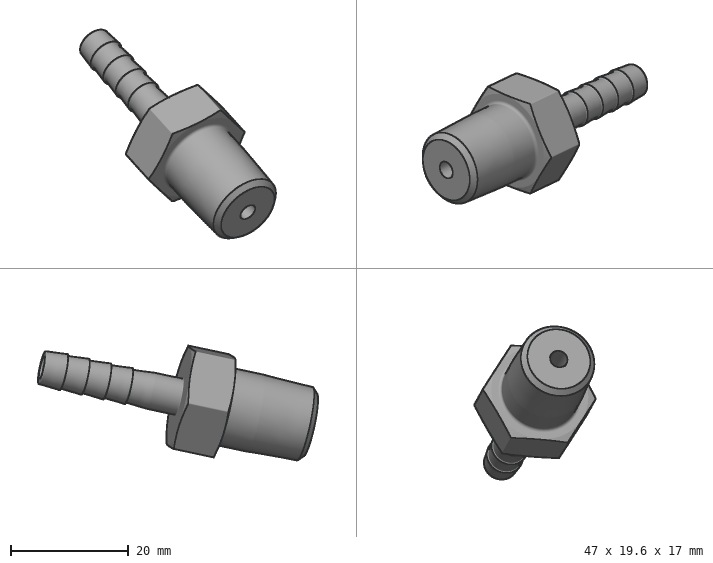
import cadquery as cq
import math

total_length = 47.0

stem_diameter = 6.3
barb_root_diameter = 5.75
barb_count = 5
barbs_length = 19.0
barb_root_fillet = 0.15
nose_radius = 0.2
stem_root_radius = 0.15

hex_start = 24.0
hex_length = 7.75
hex_across_flats = 17.0
hex_corner_radius = 0.25
hex_chamfer_diameter = 16.83
hex_chamfer_angle = 15.0

thread_diameter = 13.4
taper_end_diameter = 12.8
thread_root_radius = 0.5
taper_start = 37.25
end_chamfer = 0.95

bore_diameter = 3.0
bore_chamfer = 0.45

barb_pitch = barbs_length / barb_count
stem_radius = stem_diameter / 2
barb_root_radius = barb_root_diameter / 2
hex_end = hex_start + hex_length
overlap_length = hex_length / 2


def make_stem():
    """Revolved stem: a row of cones that widen away from the hose end, then a cylinder."""
    profile = cq.Workplane("XY").moveTo(0, 0).lineTo(0, barb_root_radius)
    for barb in range(1, barb_count):
        step = barb * barb_pitch
        profile = (
            profile.lineTo(step, stem_radius)
            .lineTo(step, barb_root_radius + barb_root_fillet)
            .radiusArc((step + barb_root_fillet, barb_root_radius), -barb_root_fillet)
        )
    profile = (
        profile.lineTo(barbs_length, stem_radius)
        .lineTo(hex_start - stem_root_radius, stem_radius)
        .radiusArc((hex_start, stem_radius + stem_root_radius), -stem_root_radius)
        .lineTo(hex_start + overlap_length, stem_radius + stem_root_radius)
        .lineTo(hex_start + overlap_length, 0)
        .close()
    )
    stem = profile.revolve(360, (0, 0, 0), (1, 0, 0))
    return stem.faces("<X").edges().fillet(nose_radius)


def make_hexagon():
    """Hexagon with flats at top and bottom, rounded corners and conical end chamfers."""
    across_corners = hex_across_flats / math.cos(math.radians(30))
    prism = (
        cq.Workplane("YZ", origin=(hex_start, 0, 0))
        .polygon(6, across_corners)
        .extrude(hex_length)
        .edges("|X")
        .fillet(hex_corner_radius)
    )
    chamfer_height = (across_corners - hex_chamfer_diameter) / 2
    chamfer_length = chamfer_height * math.tan(math.radians(hex_chamfer_angle))
    envelope = (
        cq.Workplane("YZ", origin=(hex_start, 0, 0))
        .circle(across_corners / 2)
        .extrude(hex_length)
        .faces("<X or >X")
        .chamfer(chamfer_length, chamfer_height)
    )
    return prism.intersect(envelope)


def make_thread_body():
    """Revolved body: root fillet, cylinder, taper and end chamfer."""
    radius = thread_diameter / 2
    taper_end = total_length - end_chamfer
    taper_end_radius = taper_end_diameter / 2
    return (
        cq.Workplane("XY")
        .moveTo(hex_end, 0)
        .lineTo(hex_end, radius + thread_root_radius)
        .radiusArc((hex_end + thread_root_radius, radius), -thread_root_radius)
        .lineTo(taper_start, radius)
        .lineTo(taper_end, taper_end_radius)
        .lineTo(total_length, taper_end_radius - end_chamfer)
        .lineTo(total_length, 0)
        .close()
        .revolve(360, (0, 0, 0), (1, 0, 0))
    )


def make_bore():
    """Through bore with a countersink at the hose end."""
    radius = bore_diameter / 2
    return (
        cq.Workplane("XY")
        .lineTo(0, radius + bore_chamfer)
        .lineTo(bore_chamfer, radius)
        .lineTo(total_length, radius)
        .lineTo(total_length, 0)
        .close()
        .revolve(360, (0, 0, 0), (1, 0, 0))
    )


result = make_stem().union(make_hexagon()).union(make_thread_body()).cut(make_bore())